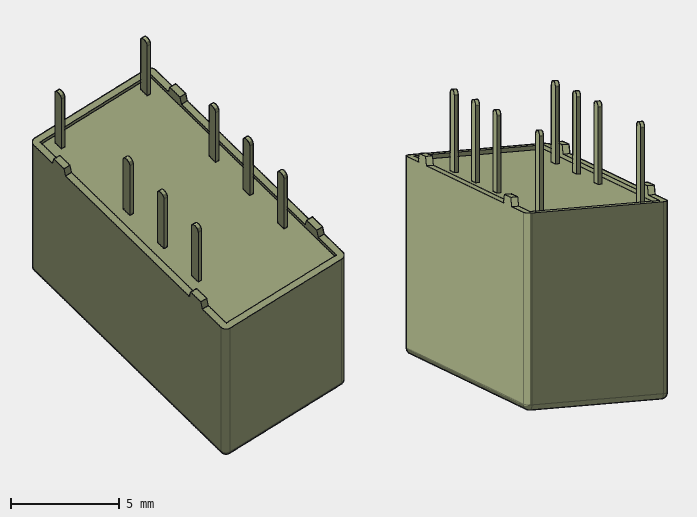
import cadquery as cq

length = 14.5
width = 7.2
total_height = 13.05
rim_height = 9.37
edge_radius = 0.3
wall = 0.35
recess_depth = 0.2

pin_pitch = 2.54
pin_columns = (-2.5, -0.5, 0.5, 1.5)
row_spacing = 2 * pin_pitch
pin_width = 0.5
pin_thickness = 0.2

tab_offset = 2 * pin_pitch
tab_height = 0.42
tab_base_width = 0.99
tab_top_width = 0.75

floor_height = rim_height - recess_depth


def make_case():
    """Block with rounded sides and bottom, and a shallow recess in the top."""
    block = cq.Workplane("XY").box(length, width, rim_height, centered=(True, True, False))
    block = block.edges("|Z").fillet(edge_radius)
    block = block.faces("<Z").edges().fillet(edge_radius)
    recess = (
        cq.Workplane("XY", origin=(0, 0, floor_height))
        .rect(length - 2 * wall, width - 2 * wall)
        .extrude(recess_depth)
    )
    return block.cut(recess)


def make_tab(x, wall_y):
    """Trapezoidal tab as thick as the wall, centred on wall_y."""
    return (
        cq.Workplane("XZ", origin=(x, wall_y, rim_height))
        .moveTo(-tab_base_width / 2, 0)
        .lineTo(tab_base_width / 2, 0)
        .lineTo(tab_top_width / 2, tab_height)
        .lineTo(-tab_top_width / 2, tab_height)
        .close()
        .extrude(wall / 2, both=True)
    )


def make_pin(x, y):
    """Flat pin rising from the recess floor to a semicircular tip."""
    half_width = pin_width / 2
    shoulder = total_height - half_width
    return (
        cq.Workplane("XZ", origin=(x, y, 0))
        .moveTo(-half_width, floor_height)
        .lineTo(half_width, floor_height)
        .lineTo(half_width, shoulder)
        .threePointArc((0, total_height), (-half_width, shoulder))
        .close()
        .extrude(pin_thickness / 2, both=True)
    )


result = make_case()
for side in (-1, 1):
    for end in (-1, 1):
        result = result.union(make_tab(end * tab_offset, side * (width - wall) / 2))
    for column in pin_columns:
        result = result.union(make_pin(column * pin_pitch, side * row_spacing / 2))